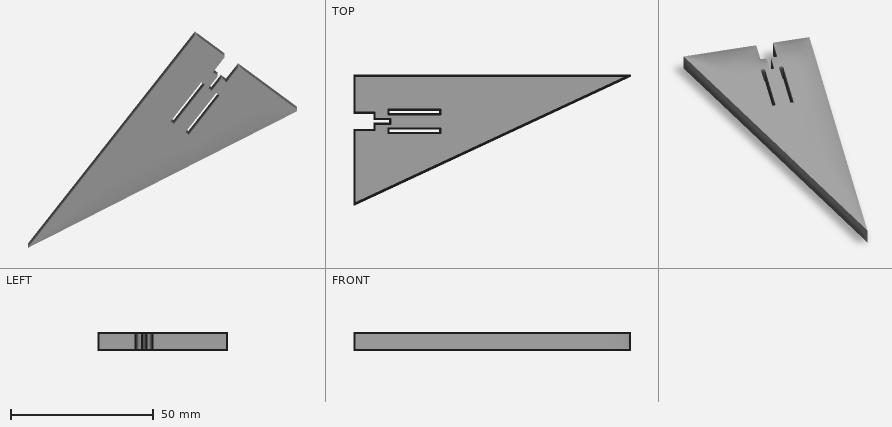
import cadquery as cq
import math

thickness = 6.0
short_leg = 45.0
tip_angle = 25.0
long_leg = short_leg / math.tan(math.radians(tip_angle))

cutout_axis_y = -16.0

notch_width = 6.0
notch_depth = 7.0

slot_width = 1.5
center_slot_end = 12.5
side_slot_start = 12.0
side_slot_end = 30.0
side_slot_gap = 5.0
side_slot_offset = (side_slot_gap + slot_width) / 2


def triangular_plate():
    corners = [(0, 0), (long_leg, 0), (0, -short_leg)]
    return cq.Workplane("XY").polyline(corners).close().extrude(thickness)


def through_slot(x_start, x_end, y_center, width):
    """Square-ended cutter along X, through the full thickness."""
    return (
        cq.Workplane("XY")
        .center((x_start + x_end) / 2, y_center)
        .rect(x_end - x_start, width)
        .extrude(thickness)
    )


result = triangular_plate()
result = result.cut(through_slot(0, notch_depth, cutout_axis_y, notch_width))
result = result.cut(through_slot(notch_depth, center_slot_end, cutout_axis_y, slot_width))
for side in (-1, 1):
    slot_y = cutout_axis_y + side * side_slot_offset
    result = result.cut(through_slot(side_slot_start, side_slot_end, slot_y, slot_width))